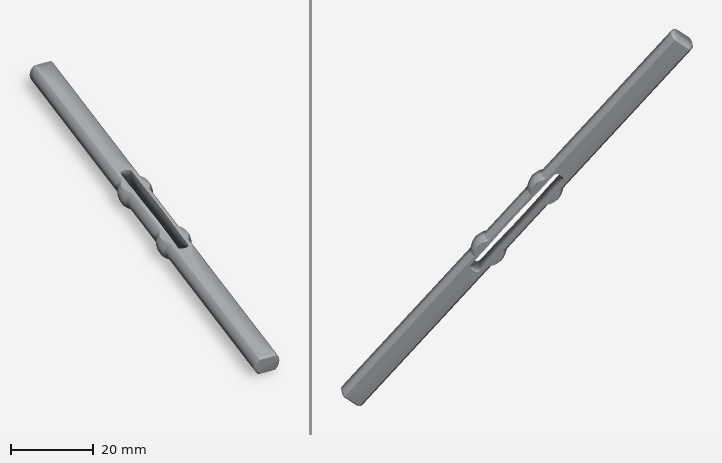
import cadquery as cq

rod_length = 131.2
rod_diameter = 6.7
flat_height = 5.0
end_chamfer = 0.46

collar_diameter = 8.5
collar_length = 5.6
collar_spacing = 22.5

slot_length = 34.6
slot_width = 2.9
slot_corner_radius = 1.0

bow_depth = 0.15
bow_blend_length = 2.0


def flatten(body):
    """Trim a round body along X to the top and bottom flats."""
    return body.intersect(cq.Workplane("XY").box(rod_length, collar_diameter, flat_height))


def make_rod():
    rod = cq.Workplane("YZ").circle(rod_diameter / 2).extrude(rod_length / 2, both=True)
    return flatten(rod).faces("<X or >X").chamfer(end_chamfer)


def make_collar(center_x):
    """Flattened collar revolved about the rod axis, with an arched outer profile."""
    start_x = center_x - collar_length / 2
    end_x = center_x + collar_length / 2
    profile = (
        cq.Workplane("XY")
        .moveTo(start_x, 0)
        .lineTo(start_x, rod_diameter / 2)
        .threePointArc((center_x, collar_diameter / 2), (end_x, rod_diameter / 2))
        .lineTo(end_x, 0)
        .close()
    )
    return flatten(profile.revolve(360, (0, 0, 0), (1, 0, 0)))


def make_bowed_half(side):
    """Half of the slot, from its centre line to one bowed wall; short arcs blend the bow into the wall."""
    wall_end = slot_length / 2 - slot_corner_radius
    bow_end = collar_spacing / 2
    blend_end = bow_end - bow_blend_length
    blend_depth = bow_depth * bow_blend_length / bow_end
    wall_y = side * slot_width / 2
    blend_y = wall_y + side * blend_depth
    deepest_y = wall_y + side * bow_depth
    return (
        cq.Workplane("XY")
        .moveTo(-wall_end, 0)
        .lineTo(-wall_end, wall_y)
        .lineTo(-bow_end, wall_y)
        .tangentArcPoint((-blend_end, blend_y), relative=False)
        .threePointArc((0, deepest_y), (blend_end, blend_y))
        .tangentArcPoint((bow_end, wall_y), relative=False)
        .lineTo(wall_end, wall_y)
        .lineTo(wall_end, 0)
        .close()
        .extrude(flat_height, both=True)
    )


def make_slot():
    slot = cq.Workplane("XY").box(slot_length, slot_width, 2 * flat_height)
    slot = slot.edges("|Z").fillet(slot_corner_radius)
    for side in (-1, 1):
        slot = slot.union(make_bowed_half(side))
    return slot


body = make_rod()
for side in (-1, 1):
    body = body.union(make_collar(side * collar_spacing / 2))

result = body.cut(make_slot())